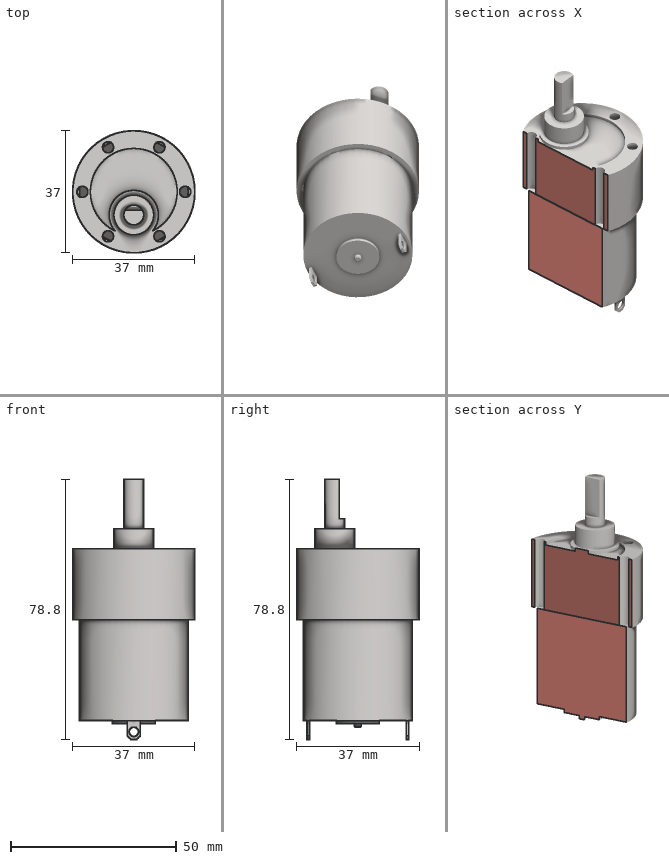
import cadquery as cq

motor_length = 30.4
gearbox_length = 21.6
boss_height = 6.0
shaft_length = 15.0

motor_diameter = 33.0
bearing_diameter = 13.0
bearing_height = 1.0
rear_shaft_diameter = 2.15
rear_shaft_length = 1.0
rear_shaft_chamfer = 0.3

terminal_spacing = 30.0
terminal_width = 4.0
terminal_thickness = 0.8
terminal_length = 5.75
terminal_corner = 1.15
terminal_hole_diameter = 2.75
terminal_hole_depth = 3.4

gearbox_diameter = 37.0
mount_hole_diameter = 3.3
mount_hole_count = 6
mount_circle_diameter = 31.0
recess_diameter = 26.25
recess_depth = 1.0
island_diameter = 14.9

shaft_offset = -7.0
boss_diameter = 12.0
shaft_diameter = 6.0
flat_length = 12.0
flat_thickness = 4.45

gearbox_top = motor_length + gearbox_length
boss_top = gearbox_top + boss_height
shaft_top = boss_top + shaft_length


def disc(diameter, bottom, height, y=0):
    """Upright cylinder centred on X = 0."""
    return cq.Workplane("XY", origin=(0, y, bottom)).circle(diameter / 2).extrude(height)


def make_terminal(y):
    """Flat solder tag with two cut corners and a wire hole, hanging below the can."""
    tag = (
        cq.Workplane("XY", origin=(0, y, -terminal_length))
        .rect(terminal_width, terminal_thickness)
        .extrude(terminal_length)
        .faces("<Z")
        .edges("|Y")
        .chamfer(terminal_corner)
    )
    wire_hole = (
        cq.Workplane("XZ", origin=(0, y, -terminal_hole_depth))
        .circle(terminal_hole_diameter / 2)
        .extrude(terminal_thickness, both=True)
    )
    return tag.cut(wire_hole)


def make_motor():
    """Motor can with its rear bearing seat, rear shaft end and two terminals."""
    can = disc(motor_diameter, 0, motor_length)
    bearing_seat = disc(bearing_diameter, -bearing_height, bearing_height)
    rear_shaft = disc(rear_shaft_diameter, -bearing_height - rear_shaft_length, rear_shaft_length)
    rear_shaft = rear_shaft.faces("<Z").chamfer(rear_shaft_chamfer)
    motor = can.union(bearing_seat).union(rear_shaft)
    for side in (-1, 1):
        motor = motor.union(make_terminal(side * terminal_spacing / 2))
    return motor


def make_output_shaft():
    """Round shaft with a flat on its +Y side, running down from the tip."""
    shaft = disc(shaft_diameter, boss_top, shaft_length, shaft_offset)
    flat_y = shaft_offset - shaft_diameter / 2 + flat_thickness
    flat_cutter = cq.Workplane("XY", origin=(0, flat_y, shaft_top - flat_length)).box(
        shaft_diameter, shaft_diameter, flat_length, centered=(True, False, False)
    )
    return shaft.cut(flat_cutter)


def make_gearbox():
    """Gearbox housing with its mounting holes, face recess, shaft boss and output shaft."""
    housing = disc(gearbox_diameter, motor_length, gearbox_length)
    mount_holes = (
        cq.Workplane("XY", origin=(0, 0, motor_length))
        .polarArray(mount_circle_diameter / 2, 0, 360, mount_hole_count)
        .circle(mount_hole_diameter / 2)
        .extrude(gearbox_length)
    )
    recess_floor = gearbox_top - recess_depth
    recess = disc(recess_diameter, recess_floor, recess_depth)
    island = disc(island_diameter, recess_floor, recess_depth, shaft_offset)
    boss = disc(boss_diameter, gearbox_top, boss_height, shaft_offset)
    housing = housing.cut(mount_holes).cut(recess.cut(island))
    return housing.union(boss).union(make_output_shaft())


motor = make_motor()
gearbox = make_gearbox()

result = cq.Compound.makeCompound([motor.val(), gearbox.val()])